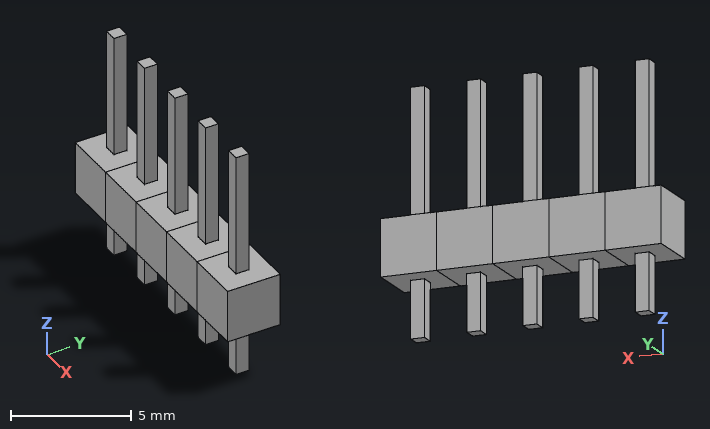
import cadquery as cq

pin_count = 5
pitch = 2.54
pin_width = 0.64
pin_above = 5.84
pin_below = 2.54

pin_length = pin_below + pitch + pin_above
first_x = -pitch * (pin_count - 1) / 2


def make_housing(x):
    """Cubic housing resting on Z = 0, with a square hole through it for the pin."""
    return (
        cq.Workplane("XY")
        .center(x, 0)
        .rect(pitch, pitch)
        .rect(pin_width, pin_width)
        .extrude(pitch)
    )


def make_pin(x):
    """Straight square pin passing through the housing at x."""
    return (
        cq.Workplane("XY", origin=(x, 0, -pin_below))
        .rect(pin_width, pin_width)
        .extrude(pin_length)
    )


pin_positions = [first_x + i * pitch for i in range(pin_count)]
housings = [make_housing(x).val() for x in pin_positions]
pins = [make_pin(x).val() for x in pin_positions]

result = cq.Compound.makeCompound([*housings, *pins])